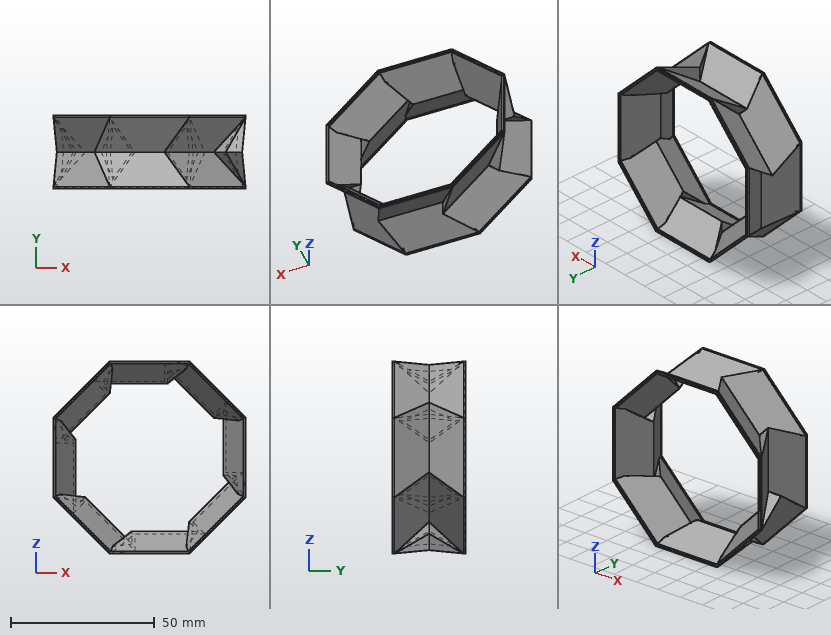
import cadquery as cq
import math


SIDES = 8
ACROSS_FLATS = 66.78
RIM_WIDTH = 0.8
FOLD_WIDTH = 12.0
FOLD_ANGLE = 30.0
WALL = 0.8
WAIST_LEFT = 19.1
WAIST_RIGHT = 5.15

APOTHEM = ACROSS_FLATS / 2
SIDE_ANGLE = 2 * math.pi / SIDES
SLOPE = math.tan(math.radians(FOLD_ANGLE))
CORNER_RATIO = math.tan(math.pi / SIDES)
WAIST_APOTHEM = APOTHEM - FOLD_WIDTH * SLOPE
RIM_END = FOLD_WIDTH + RIM_WIDTH
Y_AXIS = cq.Vector(0, 1, 0)
Z_AXIS = cq.Vector(0, 0, 1)


def turned(point, steps):
    """Turn a point about the Y axis by whole octagon sides, clockwise seen from -Y."""
    angle = SIDE_ANGLE * steps
    x = point.x * math.cos(angle) + point.z * math.sin(angle)
    z = point.z * math.cos(angle) - point.x * math.sin(angle)
    return cq.Vector(x, point.y, z)


def flipped(point):
    """Mirror a point to the other side of the waist."""
    return cq.Vector(point.x, -point.y, point.z)


def at_rim_end(point):
    return cq.Vector(point.x, -RIM_END, point.z)


def polygon_face(points):
    return cq.Face.makeFromWires(cq.Wire.makePolygon(points, close=True))


def ring_solid(panel, facet):
    """Closed solid from the top panel and its right-hand facet, both on the -Y half.

    The first and last points of the panel lie where it meets the rim.
    """
    left, right = panel[0], panel[-1]
    rim = [at_rim_end(left), at_rim_end(right), right, left]
    end_cap = [turned(at_rim_end(right), i) for i in range(SIDES)]
    half = [end_cap]
    for i in range(SIDES):
        for outline in (rim, panel, facet):
            half.append([turned(point, i) for point in outline])
    other_half = [[flipped(point) for point in outline] for outline in half]
    faces = [polygon_face(outline) for outline in half + other_half]
    return cq.Solid.makeSolid(cq.Shell.makeShell(faces))


def inner_plane(a, b, c):
    """Inner side of the wall behind three outer points: (outward normal, distance to origin).

    The order of the points is such that the normal faces out of the wall.
    """
    normal = (b - a).cross(c - a).normalized()
    return normal, normal.dot(a) - WALL


def turned_plane(plane, steps):
    normal, distance = plane
    return turned(normal, steps), distance


def meeting_point(first, second, third):
    """Common point of three planes."""
    (n1, d1), (n2, d2), (n3, d3) = first, second, third
    total = n2.cross(n3) * d1 + n3.cross(n1) * d2 + n1.cross(n2) * d3
    return total / n1.dot(n2.cross(n3))


corner_right = cq.Vector(APOTHEM * CORNER_RATIO, -FOLD_WIDTH, APOTHEM)
corner_left = turned(corner_right, -1)
waist_left = cq.Vector(-WAIST_LEFT, 0, WAIST_APOTHEM)
waist_right = cq.Vector(WAIST_RIGHT, 0, WAIST_APOTHEM)
next_waist_left = turned(waist_left, 1)

outer = ring_solid(
    panel=[corner_left, waist_left, waist_right, corner_right],
    facet=[corner_right, waist_right, next_waist_left],
)

waist_plane = (Y_AXIS, 0)
inner_panel = inner_plane(corner_left, corner_right, waist_right)
inner_facet = inner_plane(corner_right, next_waist_left, waist_right)
next_inner_panel = turned_plane(inner_panel, 1)
inner_rim = (Z_AXIS, APOTHEM - WALL)

inner_corner = meeting_point(inner_rim, turned_plane(inner_rim, 1), inner_panel)
inner_kink = meeting_point(inner_panel, next_inner_panel, inner_facet)
inner_waist_right = meeting_point(inner_panel, inner_facet, waist_plane)
next_inner_waist_left = meeting_point(next_inner_panel, inner_facet, waist_plane)

cavity = ring_solid(
    panel=[
        turned(inner_corner, -1),
        turned(inner_kink, -1),
        turned(next_inner_waist_left, -1),
        inner_waist_right,
        inner_kink,
        inner_corner,
    ],
    facet=[inner_kink, inner_waist_right, next_inner_waist_left],
)

result = cq.Workplane(outer).cut(cq.Workplane(cavity))